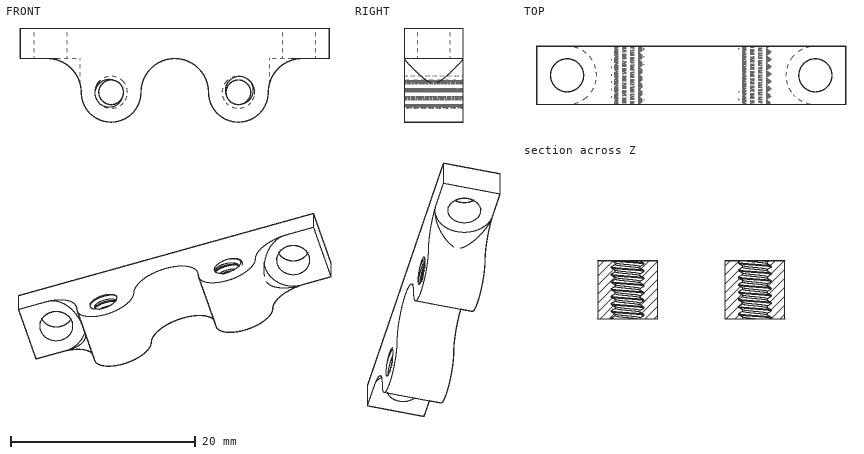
import cadquery as cq
import math

length = 33.53
width = 6.35
plate_thickness = 3.28

lug_radius = 3.25
arch_radius = 3.65
lug_spacing = 2 * (lug_radius + arch_radius)
lug_x = lug_spacing / 2
flank_x = lug_x + lug_radius + arch_radius
lug_z = -arch_radius

mount_spacing = 26.92
mount_diameter = 3.57
head_clearance_diameter = 6.35

inch = 25.4
thread_pitch = inch / 32
thread_major_diameter = 3.505
thread_minor_diameter = 2.65
thread_major_radius = thread_major_diameter / 2
thread_minor_radius = thread_minor_diameter / 2
thread_half_angle = math.radians(30)
root_flat = thread_pitch / 8
groove_overlap = 0.05
thread_runout = 2 * thread_pitch
left_thread_angle = 205
right_thread_angle = 65


def make_body():
    """Plate and lugs as one outline extruded across the width."""
    half_length = length / 2
    diagonal = math.sqrt(0.5)
    arc_mid_z = lug_z + arch_radius * diagonal
    outline = (
        cq.Workplane("XZ")
        .moveTo(-half_length, plate_thickness)
        .lineTo(-half_length, 0)
        .lineTo(-flank_x, 0)
        .threePointArc((-flank_x + arch_radius * diagonal, arc_mid_z), (-lug_x - lug_radius, lug_z))
        .threePointArc((-lug_x, lug_z - lug_radius), (-lug_x + lug_radius, lug_z))
        .threePointArc((0, 0), (lug_x - lug_radius, lug_z))
        .threePointArc((lug_x, lug_z - lug_radius), (lug_x + lug_radius, lug_z))
        .threePointArc((flank_x - arch_radius * diagonal, arc_mid_z), (flank_x, 0))
        .lineTo(half_length, 0)
        .lineTo(half_length, plate_thickness)
        .close()
    )
    return outline.extrude(width / 2, both=True)


def make_mount_cutter(x):
    """Through hole in the plate with screw-head clearance below it."""
    hole = cq.Workplane("XY").center(x, 0).circle(mount_diameter / 2).extrude(plate_thickness)
    clearance_depth = lug_radius - lug_z
    clearance = cq.Workplane("XY").center(x, 0).circle(head_clearance_diameter / 2).extrude(-clearance_depth)
    return hole.union(clearance)


def make_thread_groove(x, start_angle):
    """Right-handed V groove along Y, running out past both faces of a lug."""
    groove_length = width + 2 * thread_runout
    thread_depth = thread_major_radius - thread_minor_radius
    inner_radius = thread_minor_radius - groove_overlap
    half_root = root_flat / 2
    half_mouth = half_root + thread_depth * math.tan(thread_half_angle)
    helix = cq.Wire.makeHelix(thread_pitch, groove_length, inner_radius)
    groove = (
        cq.Workplane("XZ")
        .polyline(
            [
                (inner_radius, -half_mouth),
                (thread_minor_radius, -half_mouth),
                (thread_major_radius, -half_root),
                (thread_major_radius, half_root),
                (thread_minor_radius, half_mouth),
                (inner_radius, half_mouth),
            ]
        )
        .close()
        .sweep(cq.Workplane(obj=helix), isFrenet=True)
    )
    return (
        groove.translate((0, 0, -groove_length / 2))
        .rotate((0, 0, 0), (0, 0, 1), start_angle)
        .rotate((0, 0, 0), (1, 0, 0), 90)
        .translate((x, 0, lug_z))
    )


def make_thread_bore(x):
    """Minor-diameter bore through a lug."""
    return cq.Workplane("XZ").center(x, lug_z).circle(thread_minor_radius).extrude(width, both=True)


result = make_body()
for side in (-1, 1):
    result = result.cut(make_mount_cutter(side * mount_spacing / 2))
for hole_x, thread_angle in ((-lug_x, left_thread_angle), (lug_x, right_thread_angle)):
    result = result.cut(make_thread_bore(hole_x))
    result = result.cut(make_thread_groove(hole_x, thread_angle))